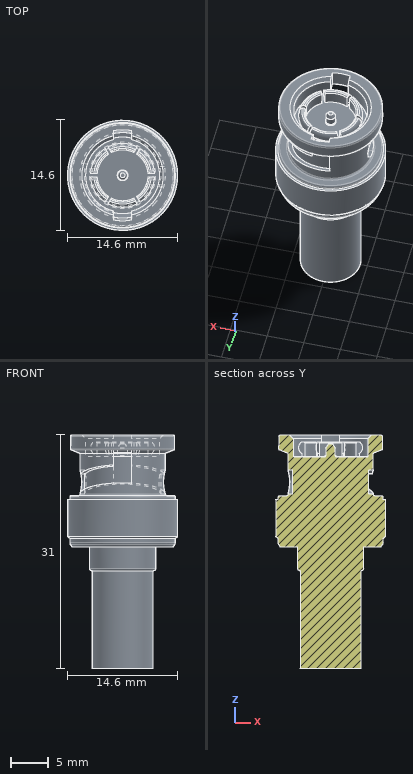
import cadquery as cq
import math

total_height = 30.95

head_radius = 6.9
head_corner_z = 29.0
head_fillet = 0.2
sleeve_radius = 5.65
sleeve_top_z = 28.5
sleeve_root_fillet = 0.2
bore_radius = 4.9
bore_chamfer = 0.5

grip_radius = 7.3
grip_top_z = 22.45
grip_bottom_z = 17.5
grip_chamfer = 0.25
flange_radius = 7.0
flange_top_z = 22.93
flange_bottom_z = 16.1
flange_top_fillet = 0.22
flange_end_radius = 6.7
flange_end_height = 0.45
flange_end_fillet = 0.5

collar_radius = 4.4
collar_bottom_z = 12.97
collar_fillet = 0.28
tube_radius = 4.05

body_radius = 5.08
floor_z = 28.07

lug_width = 2.4
lug_outer_radius = 6.05
seat_radius = 1.58
seat_z = 24.73
ramp_width = 2.32
ramp_angle = 15.0

finger_count = 6
finger_gap = 0.43
finger_top_z = 30.05
finger_inner_radius = 3.37
finger_chamfer = 0.2
finger_top_outer_radius = 3.8
finger_outer_radius = 4.25
finger_bulge_height = 1.55

pin_radius = 0.65
pin_tip_radius = 0.3
pin_boss_radius = 0.7
pin_boss_height = 0.15
pin_tip_z = 29.77
pin_shoulder_z = 29.25


def revolve(profile):
    """Revolve an XZ half profile about the Z axis."""
    return profile.close().revolve(360, (0, 0, 0), (0, 1, 0))


def fillet_at(solid, radius, z, size):
    """Round the circular edge of the given radius at height z."""
    margin = 0.015
    box = cq.selectors.BoxSelector(
        (-radius - margin, -radius - margin, z - margin),
        (radius + margin, radius + margin, z + margin),
        boundingbox=True,
    )
    ring = cq.selectors.RadiusNthSelector(-1)
    return solid.edges(box).edges(ring).fillet(size)


def outer_body():
    """Head, sleeve, grip, collar and tube as one solid of revolution."""
    flange_end_z = flange_bottom_z + flange_end_height
    profile = (
        cq.Workplane("XZ")
        .lineTo(tube_radius, 0)
        .lineTo(tube_radius, collar_bottom_z)
        .lineTo(collar_radius, collar_bottom_z)
        .lineTo(collar_radius, flange_bottom_z)
        .lineTo(flange_end_radius, flange_bottom_z)
        .lineTo(flange_radius, flange_end_z)
        .lineTo(flange_radius, grip_bottom_z - grip_chamfer)
        .lineTo(grip_radius, grip_bottom_z)
        .lineTo(grip_radius, grip_top_z)
        .lineTo(flange_radius, grip_top_z)
        .lineTo(flange_radius, flange_top_z)
        .lineTo(sleeve_radius, flange_top_z)
        .lineTo(sleeve_radius, sleeve_top_z)
        .lineTo(head_radius, head_corner_z)
        .lineTo(head_radius, total_height)
        .lineTo(0, total_height)
    )
    body = revolve(profile)
    body = fillet_at(body, head_radius, total_height, head_fillet)
    body = fillet_at(body, head_radius, head_corner_z, head_fillet)
    body = fillet_at(body, sleeve_radius, flange_top_z, sleeve_root_fillet)
    body = fillet_at(body, flange_radius, flange_top_z, flange_top_fillet)
    body = fillet_at(body, flange_radius, flange_end_z, flange_end_fillet)
    return fillet_at(body, collar_radius, collar_bottom_z, collar_fillet)


def bore():
    """Chamfered bore down to the flat floor."""
    profile = (
        cq.Workplane("XZ")
        .moveTo(0, floor_z)
        .lineTo(bore_radius, floor_z)
        .lineTo(bore_radius, total_height - bore_chamfer)
        .lineTo(bore_radius + bore_chamfer, total_height)
        .lineTo(0, total_height)
    )
    return revolve(profile)


def bayonet_channel():
    """Lug entry, sloping ramp and round seat on the -Y / -X side."""
    reach = grip_radius
    slope = math.radians(ramp_angle)

    def ramp_point(along, offset):
        """YZ point at a distance along the ramp and above its lower edge."""
        rise = offset - seat_radius
        y = -along * math.cos(slope) + rise * math.sin(slope)
        z = seat_z + along * math.sin(slope) + rise * math.cos(slope)
        return y, z

    ramp_outline = [
        ramp_point(0, 0),
        ramp_point(reach, 0),
        ramp_point(reach, ramp_width),
        ramp_point(0, ramp_width),
    ]
    ramp_start = cq.Workplane("YZ", origin=(-reach, 0, 0))
    ramp = ramp_start.polyline(ramp_outline).close().extrude(reach + lug_width / 2)
    seat = ramp_start.center(0, seat_z).circle(seat_radius).extrude(reach)

    entry_outline = [
        ramp_point(0, 0),
        ramp_point(reach, 0),
        (-reach, total_height),
        (0, total_height),
    ]
    entry = (
        cq.Workplane("YZ", origin=(-lug_width / 2, 0, 0))
        .polyline(entry_outline)
        .close()
        .extrude(lug_width)
    )
    wall = cq.Workplane("XY").circle(lug_outer_radius).extrude(total_height)
    core = cq.Workplane("XY").circle(body_radius).extrude(floor_z)
    return ramp.union(seat).union(entry).intersect(wall).cut(core)


def spring_fingers():
    """Slotted ring with a bulged outer rim standing on the floor."""
    profile = (
        cq.Workplane("XZ")
        .moveTo(finger_inner_radius, floor_z)
        .lineTo(finger_inner_radius, finger_top_z - finger_chamfer)
        .lineTo(finger_inner_radius + finger_chamfer, finger_top_z)
        .lineTo(finger_top_outer_radius, finger_top_z)
        .threePointArc(
            (finger_outer_radius, finger_top_z - finger_bulge_height / 2),
            (finger_top_outer_radius, finger_top_z - finger_bulge_height),
        )
        .lineTo(finger_top_outer_radius, floor_z)
    )
    ring = revolve(profile)
    for index in range(finger_count // 2):
        gap = (
            cq.Workplane("XY", origin=(0, 0, floor_z))
            .rect(2 * bore_radius, finger_gap)
            .extrude(total_height - floor_z)
            .rotate((0, 0, 0), (0, 0, 1), index * 360 / finger_count)
        )
        ring = ring.cut(gap)
    return ring


def contact_pin():
    """Centre pin with a conical tip on a low boss."""
    profile = (
        cq.Workplane("XZ")
        .moveTo(0, floor_z)
        .lineTo(pin_boss_radius, floor_z)
        .lineTo(pin_boss_radius, floor_z + pin_boss_height)
        .lineTo(pin_radius, floor_z + pin_boss_height)
        .lineTo(pin_radius, pin_shoulder_z)
        .lineTo(pin_tip_radius, pin_tip_z)
        .lineTo(0, pin_tip_z)
    )
    return revolve(profile)


part = outer_body().cut(bore())
for turn in (0, 180):
    part = part.cut(bayonet_channel().rotate((0, 0, 0), (0, 0, 1), turn))
result = part.union(spring_fingers()).union(contact_pin())